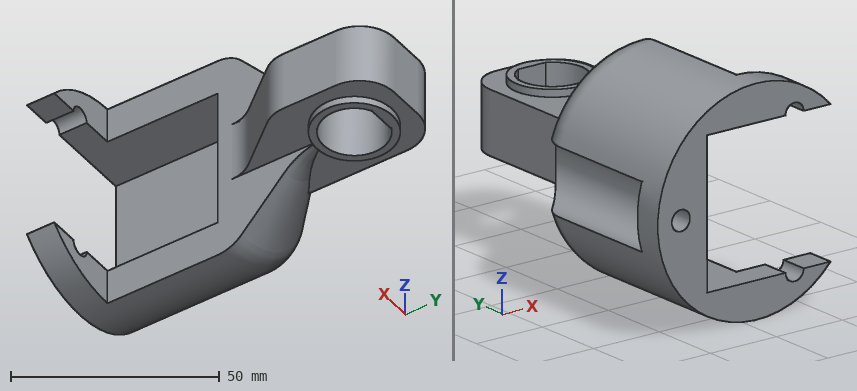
import cadquery as cq
import math

body_radius = 30.0
flange_thickness = 8.0
body_end = 40.1
total_length = 95.0

pocket_half_height = 19.95
pocket_wall_x = -15.0
pocket_depth = body_end

bolt_hole_diameter = 5.5
bolt_circle_radius = 23.0
bolt_count = 3

channel_radius = 9.0
channel_axis_x = -27.3

shoulder_convex_radius = 9.5
shoulder_concave_radius = 16.0
shoulder_angle = math.radians(47)

lug_half_width = body_radius / 2
lug_thickness = 16.9
lug_corner_radius = 10.0
lug_blend_radius = 10.0
lug_root_y = 47.9
lug_slope_end_y = 66.1
bore_y = 80.0
bushing_diameter = 22.0
bushing_length = 20.9
bore_diameter = 18.0
bore_flat_distance = 8.0


def cylinder_y(radius, start, end, x=0.0, z=0.0):
    """Cylinder parallel to the Y axis."""
    return cq.Workplane("XZ", origin=(x, start, z)).circle(radius).extrude(start - end)


def make_shoulder():
    """Body and shoulder as a revolved solid."""
    neck_radius = lug_thickness / 2
    sin_a = math.sin(shoulder_angle)
    cos_a = math.cos(shoulder_angle)

    def arc_point(center_r, center_y, radius, angle):
        return (center_r + radius * math.cos(angle), center_y + radius * math.sin(angle))

    convex_center_r = body_radius - shoulder_convex_radius
    cone_start = arc_point(convex_center_r, body_end, shoulder_convex_radius, shoulder_angle)
    convex_mid = arc_point(convex_center_r, body_end, shoulder_convex_radius, shoulder_angle / 2)

    concave_center_r = neck_radius + shoulder_concave_radius
    cone_end_r = concave_center_r - shoulder_concave_radius * cos_a
    cone_end_y = cone_start[1] + (cone_start[0] - cone_end_r) / math.tan(shoulder_angle)
    neck_y = cone_end_y + shoulder_concave_radius * sin_a
    concave_mid = arc_point(
        concave_center_r, neck_y, shoulder_concave_radius, math.pi + shoulder_angle / 2
    )

    return (
        cq.Workplane("XY")
        .lineTo(body_radius, 0)
        .lineTo(body_radius, body_end)
        .threePointArc(convex_mid, cone_start)
        .lineTo(cone_end_r, cone_end_y)
        .threePointArc(concave_mid, (neck_radius, neck_y))
        .lineTo(0, neck_y)
        .close()
        .revolve(360, (0, 0), (0, 1))
    )


def make_body():
    """Half-round body with its shoulder, cut flat at X = 0, on the full flange."""
    half_space = cq.Workplane("XY").box(
        body_radius, total_length, 2 * body_radius, centered=(False, False, True)
    ).translate((-body_radius, 0, 0))
    half_body = make_shoulder().intersect(half_space)
    channel = cylinder_y(channel_radius, flange_thickness, total_length, channel_axis_x)
    return half_body.cut(channel).union(cylinder_y(body_radius, 0, flange_thickness))


def make_lug():
    """Lug plate, with its root buried in the shoulder."""
    plate = (
        cq.Workplane("XY", origin=(0, 0, -lug_thickness / 2))
        .moveTo(-lug_half_width, body_end)
        .lineTo(0, body_end)
        .lineTo(0, lug_root_y)
        .lineTo(lug_half_width, lug_slope_end_y)
        .lineTo(lug_half_width, total_length)
        .lineTo(-lug_half_width, total_length)
        .close()
        .extrude(lug_thickness)
    )
    plate = plate.edges("|Z and >Y").fillet(lug_corner_radius)
    for x, y in ((0, lug_root_y), (lug_half_width, lug_slope_end_y)):
        plate = plate.edges(cq.NearestToPointSelector((x, y, 0))).fillet(lug_blend_radius)
    return plate


def bushing_cylinder(diameter):
    """Cylinder parallel to Z on the bore axis, as long as the bushing."""
    return cq.Workplane("XY").center(0, bore_y).circle(diameter / 2).extrude(bushing_length / 2, both=True)


def make_bore():
    """Round bore with a flat on its +Y side."""
    bore_radius = bore_diameter / 2
    flat_trim = cq.Workplane("XY").box(bore_diameter, bore_radius + bore_flat_distance, bushing_length)
    trim_y = bore_y + (bore_flat_distance - bore_radius) / 2
    return bushing_cylinder(bore_diameter).intersect(flat_trim.translate((0, trim_y, 0)))


def make_pocket():
    """Pocket from the flange face into the body."""
    return cq.Workplane("XY").box(
        body_radius - pocket_wall_x, pocket_depth, 2 * pocket_half_height, centered=(False, False, True)
    ).translate((pocket_wall_x, 0, 0))


result = make_body().cut(make_pocket()).union(make_lug())
result = result.union(bushing_cylinder(bushing_diameter)).cut(make_bore())
for index in range(bolt_count):
    bolt_angle = math.pi + index * 2 * math.pi / bolt_count
    bolt_x = bolt_circle_radius * math.cos(bolt_angle)
    bolt_z = bolt_circle_radius * math.sin(bolt_angle)
    result = result.cut(cylinder_y(bolt_hole_diameter / 2, 0, flange_thickness, bolt_x, bolt_z))